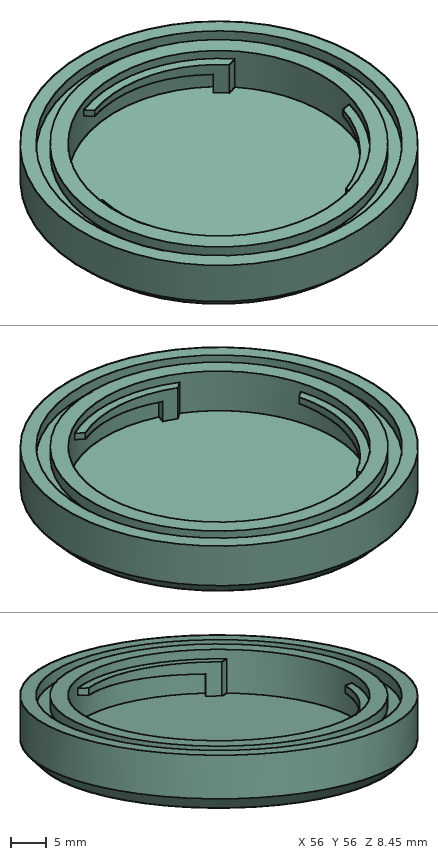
import cadquery as cq
import math

outer_diameter = 56
height = 8.45
chamfer_size = 2.0
floor_thickness = 2.0
bore_diameter = 42.5

groove_outer_diameter = 51.5
groove_inner_diameter = 47.5
groove_depth = 1.8

lug_inner_diameter = 39.7
lug_top = height - 1.4
lug_tip_thickness = 1.0
lug_root_thickness = 1.8
post_angle = 8.3
end_taper = 1.8
wall_overlap = 0.3
lug_spans = [(37.9, 95.9), (149.5, 219.3), (278, 350)]

bore_radius = bore_diameter / 2
lug_inner_radius = lug_inner_diameter / 2


def make_body():
    body = cq.Workplane("XY").circle(outer_diameter / 2).extrude(height)
    body = body.faces("<Z").chamfer(chamfer_size)
    bore = (
        cq.Workplane("XY")
        .workplane(offset=floor_thickness)
        .circle(bore_radius)
        .extrude(height)
    )
    groove = (
        cq.Workplane("XY")
        .workplane(offset=height - groove_depth)
        .circle(groove_outer_diameter / 2)
        .circle(groove_inner_diameter / 2)
        .extrude(groove_depth)
    )
    return body.cut(bore).cut(groove)


def polar(radius, angle):
    return radius * math.cos(math.radians(angle)), radius * math.sin(math.radians(angle))


def make_lug(start, end):
    """Curved lug with a sloped underside and a post down to the floor at its start."""
    half_span = (end - start) / 2
    inner_half_span = half_span - end_taper
    outer_radius = bore_radius + wall_overlap

    blank = (
        cq.Workplane("XY")
        .moveTo(*polar(lug_inner_radius, -inner_half_span))
        .lineTo(*polar(bore_radius, -half_span))
        .lineTo(*polar(outer_radius, -half_span))
        .threePointArc((outer_radius, 0), polar(outer_radius, half_span))
        .lineTo(*polar(bore_radius, half_span))
        .lineTo(*polar(lug_inner_radius, inner_half_span))
        .threePointArc((lug_inner_radius, 0), polar(lug_inner_radius, -inner_half_span))
        .close()
        .extrude(lug_top - floor_thickness + wall_overlap)
        .translate((0, 0, floor_thickness - wall_overlap))
    )

    tip_y = polar(outer_radius, half_span)[1]
    post_y = polar(lug_inner_radius, post_angle - half_span)[1]
    arm_profile = (
        cq.Workplane("YZ")
        .polyline([
            (-tip_y, lug_top - lug_root_thickness),
            (post_y, lug_top - lug_root_thickness),
            (tip_y, lug_top - lug_tip_thickness),
            (tip_y, lug_top),
            (-tip_y, lug_top),
        ])
        .close()
        .extrude(outer_radius)
    )

    post_wedge = (
        cq.Workplane("XY")
        .polyline([
            (0, 0),
            polar(outer_diameter, -half_span - end_taper),
            polar(outer_diameter, post_angle - half_span),
        ])
        .close()
        .extrude(lug_top)
    )

    lug = blank.intersect(arm_profile.union(post_wedge))
    return lug.rotate((0, 0, 0), (0, 0, 1), (start + end) / 2)


result = make_body()
for lug_start, lug_end in lug_spans:
    result = result.union(make_lug(lug_start, lug_end))